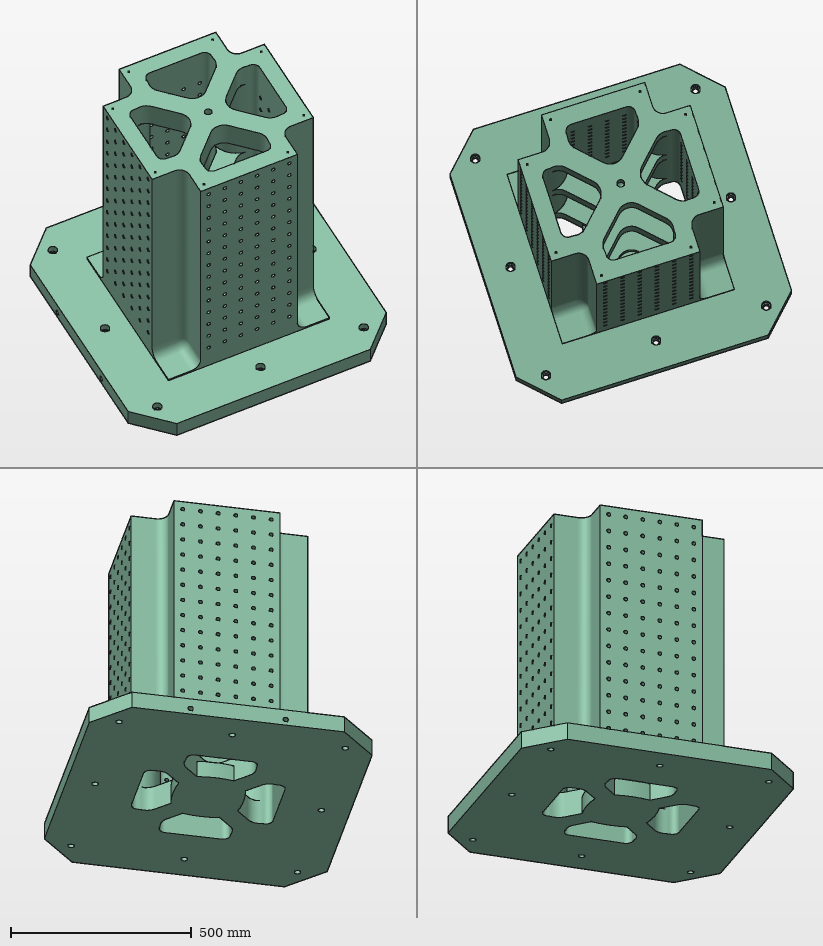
import cadquery as cq
import math

HEIGHT = 800.0
BASE_WIDTH = 800.0
BASE_THICKNESS = 50.0
BASE_CORNER_CHAMFER = 100.0

COLUMN_WIDTH = 500.0
NOTCH_SIZE = 100.0
NOTCH_FILLET = 30.0
FOOT_PAD_HEIGHT = 5.0
WALL = 50.0

CAVITY_WIDTH = COLUMN_WIDTH - 2 * WALL
CAVITY_ARM_WIDTH = COLUMN_WIDTH - 2 * NOTCH_SIZE - 2 * WALL
CAVITY_END_FILLET = 20.0
CAVITY_INNER_FILLET = 76.0

WEB_WIDTH = 60.0
WEB_FILLET = 40.0
WEB_HEIGHT = 75.0
WEB_BOTTOMS = (0.0, (HEIGHT - WEB_HEIGHT) / 2, HEIGHT - WEB_HEIGHT)
HUB_REACH = 100.0
HUB_CORNER = 86.0

GRID_PITCH = 50.0
GRID_COLUMNS = 6
GRID_ROWS = 14
GRID_HOLE_DIAMETER = 10.0
GRID_HOLE_DEPTH = 36.0
GRID_BREAKTHROUGH = 8.0
BLIND_ROWS = 2
DRILL_POINT_ANGLE = 118.0

LIFTING_HOLE_DIAMETER = 21.0
LIFTING_HOLE_DEPTH = 40.0
TOP_HOLE_DIAMETER = 5.0
TOP_HOLE_DEPTH = 16.0
TOP_HOLE_EDGE_INSET = 20.0

MOUNT_HOLE_SPACING = 320.0
MOUNT_HOLE_DIAMETER = 18.0
COUNTERBORE_DIAMETER = 26.0
COUNTERBORE_DEPTH = 20.0

EDGE_HOLE_DIAMETER = 14.0
EDGE_HOLE_DEPTH = 32.0
EDGE_HOLE_OFFSET = 134.0
EDGE_HOLE_HEIGHT = 18.0

QUARTER_TURNS = (0, 90, 180, 270)


def upright_box(x_size, y_size, bottom, top):
    """Box centred on the Z axis."""
    return cq.Workplane("XY").workplane(offset=bottom).rect(x_size, y_size).extrude(top - bottom)


def turned(shape, angle):
    return shape.rotate((0, 0, 0), (0, 0, 1), angle)


def join(shapes):
    """One compound of separate solids."""
    return cq.Workplane(cq.Compound.makeCompound([shape.val() for shape in shapes]))


def corner_posts(half_position):
    """Selector boxes around the four upright edges at (+-half_position, +-half_position)."""
    reach = 1.0
    selector = None
    for x in (-half_position, half_position):
        for y in (-half_position, half_position):
            box = cq.selectors.BoxSelector(
                (x - reach, y - reach, -HEIGHT),
                (x + reach, y + reach, 2 * HEIGHT),
            )
            selector = box if selector is None else selector + box
    return selector


def make_base():
    base = upright_box(BASE_WIDTH, BASE_WIDTH, 0, BASE_THICKNESS)
    return base.edges("|Z").chamfer(BASE_CORNER_CHAMFER)


def make_notch(angle):
    """Corner cutter, rounded along its inner upright edge and its two inner floor edges."""
    floor = BASE_THICKNESS + FOOT_PAD_HEIGHT
    inner = COLUMN_WIDTH / 2 - NOTCH_SIZE
    size = 2 * NOTCH_SIZE
    notch = cq.Workplane("XY").box(size, size, HEIGHT, centered=False).translate((inner, inner, floor))
    rounded = notch.edges("(|Z and <X and <Y) or (<Z and <X) or (<Z and <Y)").fillet(NOTCH_FILLET)
    return turned(rounded, angle)


def make_cavity(bottom, top):
    arm = upright_box(CAVITY_WIDTH, CAVITY_ARM_WIDTH, bottom, top)
    cavity = arm.union(turned(arm, 90))
    cavity = cavity.edges(corner_posts(CAVITY_ARM_WIDTH / 2)).fillet(CAVITY_INNER_FILLET)
    outer_edges = cavity.faces("<X or >X or <Y or >Y").edges("|Z")
    return outer_edges.fillet(CAVITY_END_FILLET)


def make_windows(bottom, top):
    """The four openings that the diagonal webs leave free in the cavity."""
    web = upright_box(BASE_WIDTH, WEB_WIDTH, bottom, top)
    openings = make_cavity(bottom, top).cut(turned(web, 45)).cut(turned(web, -45))
    reach = CAVITY_WIDTH / 2 - CAVITY_END_FILLET - 8
    web_edges = cq.selectors.BoxSelector((-reach, -reach, bottom), (reach, reach, top))
    return openings.edges("|Z").edges(web_edges).fillet(WEB_FILLET)


def make_hub():
    """Square pad with outward-bowed sides; its corners lie inside the webs."""
    outline = cq.Workplane("XY").moveTo(-HUB_CORNER, -HUB_CORNER)
    outline = outline.threePointArc((0, -HUB_REACH), (HUB_CORNER, -HUB_CORNER))
    outline = outline.threePointArc((HUB_REACH, 0), (HUB_CORNER, HUB_CORNER))
    outline = outline.threePointArc((0, HUB_REACH), (-HUB_CORNER, HUB_CORNER))
    outline = outline.threePointArc((-HUB_REACH, 0), (-HUB_CORNER, -HUB_CORNER))
    return outline.close().extrude(BASE_THICKNESS)


def drill(diameter, depth):
    """Pointed blind hole along +Z from the origin."""
    radius = diameter / 2
    point = radius / math.tan(math.radians(DRILL_POINT_ANGLE / 2))
    profile = [(0, 0), (radius, 0), (radius, depth), (0, depth + point)]
    return cq.Workplane("XZ").polyline(profile).close().revolve(360, (0, 0), (0, 1))


def drill_inward(diameter, depth, face_y, x, z):
    """Pointed blind hole running in +Y from the face at -face_y."""
    return drill(diameter, depth).rotate((0, 0, 0), (1, 0, 0), -90).translate((x, -face_y, z))


def make_grid_holes():
    """Hole grids of the four faces: blind beside the cavity and in the top rows, otherwise through the wall."""
    holes = []
    for row in range(GRID_ROWS):
        z = HEIGHT - GRID_PITCH * (row + 0.5)
        for column in range(GRID_COLUMNS):
            x = GRID_PITCH * (column - (GRID_COLUMNS - 1) / 2)
            blind = row < BLIND_ROWS or abs(x) > CAVITY_ARM_WIDTH / 2
            depth = GRID_HOLE_DEPTH if blind else WALL + GRID_BREAKTHROUGH
            hole = drill_inward(GRID_HOLE_DIAMETER, depth, COLUMN_WIDTH / 2, x, z)
            holes += [turned(hole, angle) for angle in QUARTER_TURNS]
    return holes


def drill_down(diameter, depth, x, y):
    """Pointed blind hole from the top face."""
    return drill(diameter, depth).rotate((0, 0, 0), (1, 0, 0), 180).translate((x, y, HEIGHT))


def make_top_holes():
    holes = [drill_down(LIFTING_HOLE_DIAMETER, LIFTING_HOLE_DEPTH, 0, 0)]
    side = COLUMN_WIDTH / 2 - NOTCH_SIZE - TOP_HOLE_EDGE_INSET
    end = COLUMN_WIDTH / 2 - TOP_HOLE_EDGE_INSET
    for angle in QUARTER_TURNS:
        for x in (-side, side):
            holes.append(turned(drill_down(TOP_HOLE_DIAMETER, TOP_HOLE_DEPTH, x, end), angle))
    return holes


def drill_mounting_holes(base):
    steps = (-MOUNT_HOLE_SPACING, 0, MOUNT_HOLE_SPACING)
    places = [(x, y) for x in steps for y in steps if (x, y) != (0, 0)]
    top = base.faces(">Z").workplane().pushPoints(places)
    return top.cboreHole(MOUNT_HOLE_DIAMETER, COUNTERBORE_DIAMETER, COUNTERBORE_DEPTH)


column = upright_box(COLUMN_WIDTH, COLUMN_WIDTH, 0, HEIGHT)
for angle in QUARTER_TURNS:
    column = column.cut(make_notch(angle))
column = column.cut(join(make_grid_holes() + make_top_holes()), clean=False)

hollow = make_windows(0, HEIGHT)
for lower_web, upper_web in zip(WEB_BOTTOMS, WEB_BOTTOMS[1:]):
    hollow = hollow.union(make_cavity(lower_web + WEB_HEIGHT, upper_web))

base = drill_mounting_holes(make_base())
for x in (-EDGE_HOLE_OFFSET, EDGE_HOLE_OFFSET):
    base = base.cut(drill_inward(EDGE_HOLE_DIAMETER, EDGE_HOLE_DEPTH, BASE_WIDTH / 2, x, EDGE_HOLE_HEIGHT))
base = base.cut(hollow).union(make_hub())

result = column.cut(hollow, clean=False).union(base, clean=False)